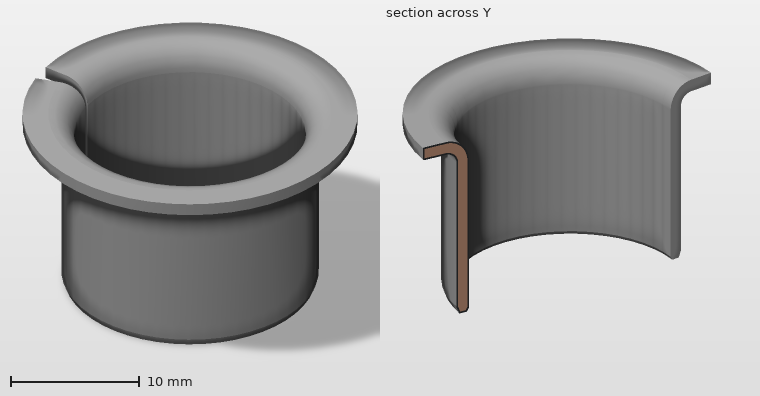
import math
import cadquery as cq

length = 15.0
bore_radius = 9.0
wall = 1.0
flange_radius = 13.0
outer_bend_radius = 1.0
outer_chamfer_height = 0.55
outer_chamfer_angle = 20.0
bore_chamfer_height = 0.3
bore_chamfer_angle = 30.0

split_half_angle = 10.0
split_apex_radius = 8.0

body_radius = bore_radius + wall
inner_bend_radius = outer_bend_radius + wall
bend_center_radius = body_radius + outer_bend_radius
bend_center_height = length - inner_bend_radius
outer_chamfer_depth = outer_chamfer_height * math.tan(math.radians(outer_chamfer_angle))
bore_chamfer_depth = bore_chamfer_height * math.tan(math.radians(bore_chamfer_angle))


def bend_point(radius):
    """Midpoint (r, z) of a bend arc of the given radius."""
    offset = radius * math.sqrt(0.5)
    return (bend_center_radius - offset, bend_center_height + offset)


def make_flanged_sleeve():
    """Revolve the constant-thickness wall section about Z."""
    section = (
        cq.Workplane("XZ")
        .moveTo(bore_radius, bore_chamfer_height)
        .lineTo(bore_radius + bore_chamfer_depth, 0)
        .lineTo(body_radius - outer_chamfer_depth, 0)
        .lineTo(body_radius, outer_chamfer_height)
        .lineTo(body_radius, bend_center_height)
        .threePointArc(bend_point(outer_bend_radius), (bend_center_radius, length - wall))
        .lineTo(flange_radius, length - wall)
        .lineTo(flange_radius, length)
        .lineTo(bend_center_radius, length)
        .threePointArc(bend_point(inner_bend_radius), (bore_radius, bend_center_height))
        .close()
    )
    sleeve = section.revolve(360, (0, 0, 0), (0, 1, 0))
    return sleeve.rotate((0, 0, 0), (0, 0, 1), 180)


def make_split():
    """Wedge that cuts the sleeve and flange over the full length."""
    reach = flange_radius + wall
    half_width = (reach - split_apex_radius) * math.tan(math.radians(split_half_angle))
    return (
        cq.Workplane("XY")
        .polyline([(-split_apex_radius, 0), (-reach, half_width), (-reach, -half_width)])
        .close()
        .extrude(length)
    )


result = make_flanged_sleeve().cut(make_split())